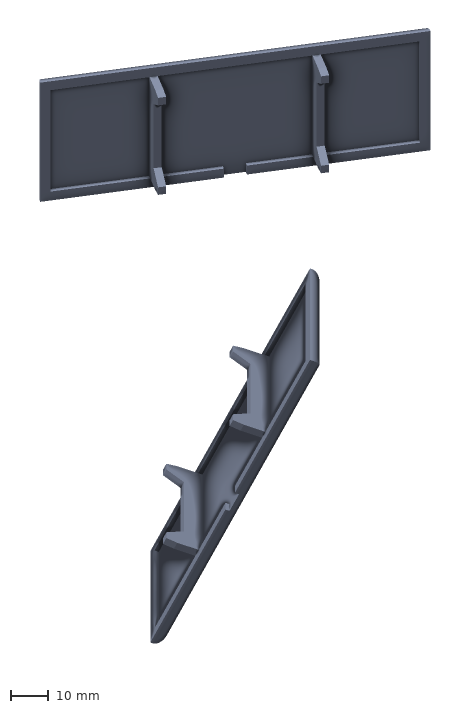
import cadquery as cq

LENGTH = 106.0
HEIGHT = 37.6
THICKNESS = 4.0
EDGE_RADIUS = 3.4
TURN_ANGLE = 45

RIM_WIDTH = 2.8
RECESS_DEPTH = 1.2
NOTCH_WIDTH = 6.25

RIB_SPACING = 44.3
RIB_THICKNESS = 2.2
RIB_HEIGHT = 31.5
WEB_REACH = 4.2
PRONG_REACH = 9.2
TAPER_START = 6.1
TAPER_INSET = 0.45
PRONG_TIP_WIDTH = 2.4
PRONG_ROOT_WIDTH = 5.65


def make_plate():
    """Plate with rounded outer edges, recessed and notched at the back."""
    plate = cq.Workplane("XY").box(LENGTH, THICKNESS, HEIGHT, centered=(True, False, True))
    plate = plate.faces(">Y").edges().fillet(EDGE_RADIUS)
    recess = cq.Workplane("XY").box(
        LENGTH - 2 * RIM_WIDTH,
        RECESS_DEPTH,
        HEIGHT - 2 * RIM_WIDTH,
        centered=(True, False, True),
    )
    notch = (
        cq.Workplane("XY")
        .box(NOTCH_WIDTH, RECESS_DEPTH, HEIGHT / 2, centered=(True, False, False))
        .translate((0, 0, -HEIGHT / 2))
    )
    return plate.cut(recess).cut(notch)


def make_rib(x_center):
    """Rib rising from the recess floor, symmetric about mid-height."""
    half_height = RIB_HEIGHT / 2
    tip_outer = half_height - TAPER_INSET
    upper_half = [
        (RECESS_DEPTH, half_height),
        (-TAPER_START, half_height),
        (-PRONG_REACH, tip_outer),
        (-PRONG_REACH, tip_outer - PRONG_TIP_WIDTH),
        (-WEB_REACH, half_height - PRONG_ROOT_WIDTH),
    ]
    lower_half = [(y, -z) for y, z in reversed(upper_half)]
    return (
        cq.Workplane("YZ", origin=(x_center, 0, 0))
        .polyline(upper_half + lower_half)
        .close()
        .extrude(RIB_THICKNESS / 2, both=True)
    )


cover = make_plate()
for side in (-1, 1):
    cover = cover.union(make_rib(side * RIB_SPACING / 2))

result = cover.rotate((0, 0, 0), (0, 0, 1), TURN_ANGLE)